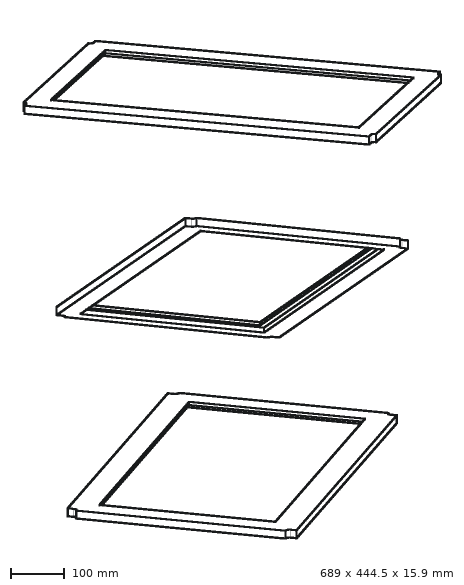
import cadquery as cq
import math

LENGTH = 688.98
WIDTH = 444.5
THICKNESS = 15.88

NOTCH_WALL = 11.906
NOTCH_RADIUS = 7.144
NOTCH_LEDGE = 0.794

SIDE_BORDER = 43.656
END_BORDER = 51.594
WINDOW_LENGTH = LENGTH - 2 * SIDE_BORDER
WINDOW_WIDTH = WIDTH - 2 * END_BORDER

LIP_THICKNESS = 6.35
RABBET_WIDTH = 12.7
RABBET_DEPTH = THICKNESS - LIP_THICKNESS


def make_blank():
    """Plate resting on Z = 0 with a notch at each corner."""
    side_x = LENGTH / 2
    round_x = side_x - NOTCH_LEDGE
    wall_x = round_x - NOTCH_RADIUS
    end_y = WIDTH / 2
    round_y = end_y - NOTCH_WALL
    ledge_y = round_y - NOTCH_RADIUS

    diagonal = NOTCH_RADIUS * math.sqrt(0.5)
    round_mid_x = round_x - diagonal
    round_mid_y = round_y - diagonal

    outline = cq.Workplane("XY").moveTo(-wall_x, -end_y)
    for turn in (1, -1):
        outline = (
            outline.lineTo(turn * wall_x, -turn * end_y)
            .lineTo(turn * wall_x, -turn * round_y)
            .threePointArc((turn * round_mid_x, -turn * round_mid_y), (turn * round_x, -turn * ledge_y))
            .lineTo(turn * side_x, -turn * ledge_y)
            .lineTo(turn * side_x, turn * ledge_y)
            .lineTo(turn * round_x, turn * ledge_y)
            .threePointArc((turn * round_mid_x, turn * round_mid_y), (turn * wall_x, turn * round_y))
            .lineTo(turn * wall_x, turn * end_y)
        )
    return outline.close().extrude(THICKNESS)


def make_window():
    """Rectangular cutter for the central opening."""
    return cq.Workplane("XY").rect(WINDOW_LENGTH, WINDOW_WIDTH).extrude(THICKNESS)


def make_rabbet():
    """Rectangular cutter that widens the window below the lip."""
    rabbet_length = WINDOW_LENGTH + 2 * RABBET_WIDTH
    rabbet_width = WINDOW_WIDTH + 2 * RABBET_WIDTH
    return cq.Workplane("XY").rect(rabbet_length, rabbet_width).extrude(RABBET_DEPTH)


result = make_blank().cut(make_window()).cut(make_rabbet())